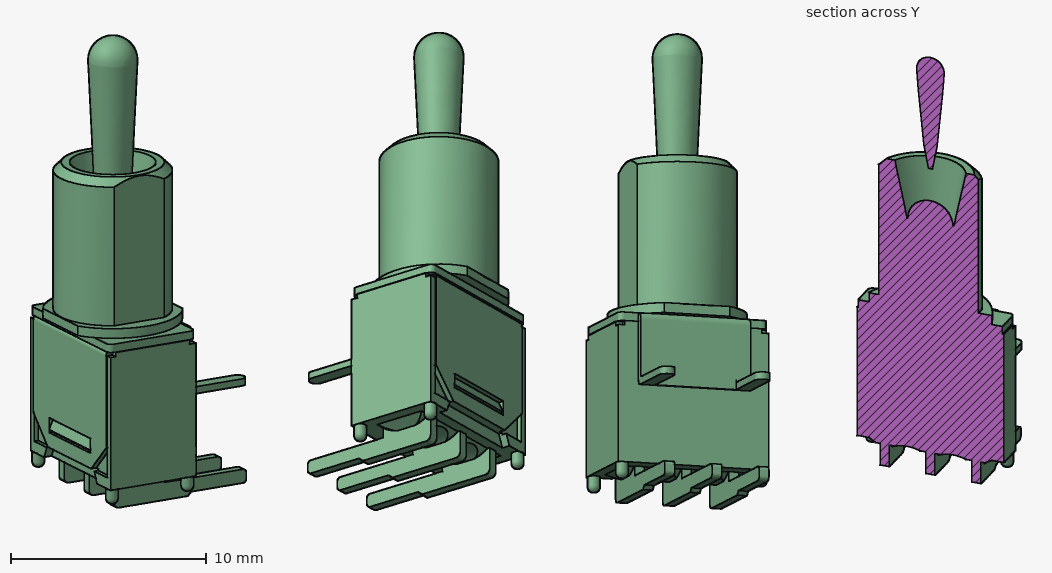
import cadquery as cq
import math


OVERALL_DEPTH = 9.35
OVERALL_HEIGHT = 24.22

HOUSING_LENGTH = 8.13
HOUSING_WIDTH = 5.1
HOUSING_HEIGHT = 7.31
FRONT_Y = -HOUSING_WIDTH / 2
BACK_Y = HOUSING_WIDTH / 2
BEND_RADIUS = 0.22
CORNER_NOTCH = 0.37

PANEL_HALF_LENGTH = 3.7
PANEL_BOTTOM = 0.68
PANEL_BEVEL_X = 2.2
PANEL_BEVEL_Z = 2.17
SILL_HEIGHT = 0.59
PANEL_THICKNESS = 0.3
GAP_DEPTH = 0.5
FRAME_SETBACK = 0.06
GAP_HALF_TOP = 2.37
GAP_HALF_BOTTOM = 2.68

LATCH_LENGTH = 4.17
LATCH_TOP = 2.27
LATCH_LIP = 1.64
LATCH_BOTTOM = 1.49
LATCH_SLOPE_DEPTH = 0.3
LATCH_SLIT_DEPTH = 0.2

PLATE_LENGTH = 8.0
PLATE_WIDTH = 5.08
PLATE_TOP = 7.75
PLATE_CORNER_RADIUS = 0.27
WASHER_RADIUS = 3.56
WASHER_TOP = 8.26
WASHER_FLAT_Y = 3.09

BUSHING_RADIUS = 3.05
BUSHING_TOP = 16.07
BUSHING_FLAT_X = 2.67
BUSHING_CHAMFER = 0.42
BORE_TOP_RADIUS = 2.2
BORE_BOTTOM_RADIUS = 3.25 / 2
BORE_DEPTH = 3.2

LEVER_TIP_RADIUS = 1.275
LEVER_NECK_RADIUS = 1.02
LEVER_TOP = 22.78
PIVOT_RADIUS = BORE_BOTTOM_RADIUS

PEG_DIAMETER = 0.65
PEG_LENGTH = 0.82
PEG_ROUNDING = 0.3

PIN_PITCH = 2.54
PIN_END_Y = OVERALL_DEPTH - WASHER_FLAT_Y
BRACKET_THICKNESS = 0.38
BRACKET_BOTTOM = 4.0
BRACKET_TOP_RADIUS = 0.37
BRACKET_OUTER_RADIUS = 0.25
BRACKET_INNER_RADIUS = 0.1
BRACKET_HALF_LENGTH = 2.965
LEG_WIDTH = 0.79
LEG_END_FLAT = 0.01
TERMINAL_THICKNESS = 0.53
TERMINAL_BOTTOM = LEVER_TOP - OVERALL_HEIGHT
TERMINAL_TOP = -0.5
TERMINAL_PIN_BOTTOM = -1.24
TERMINAL_FRONT_Y = -1.54
TERMINAL_BACK_Y = 1.47
TERMINAL_STEP_Y = 3.0
TERMINAL_CORNER_RADIUS = 0.27
TERMINAL_TIP_ROUNDING = 0.22

SEAL_HALF_LENGTH = 3.4
SEAL_HALF_WIDTH = 1.4
SEAL_DEPTH = 0.43
SEAL_EDGE_DEPTH = 0.36
SEAL_MIDDLE_DEPTH = 0.1


def box(x_range, y_range, z_range):
    """Box between the given limits."""
    size = [limits[1] - limits[0] for limits in (x_range, y_range, z_range)]
    corner = (x_range[0], y_range[0], z_range[0])
    return cq.Workplane("XY").box(*size, centered=False).translate(corner)


def revolved(points):
    """Solid of revolution about Z from (radius, z) points."""
    return cq.Workplane("XZ").polyline(points).close().revolve(360, (0, 0, 0), (0, 1, 0))


def front_prism(points, depth):
    """Prism with an XZ outline, reaching from the housing front to the given depth."""
    return cq.Workplane("XZ", origin=(0, FRONT_Y + depth, 0)).polyline(points).close().extrude(depth)


def make_housing():
    """Housing block with a slightly raised front panel, open at its lower edge and corners."""
    size = (HOUSING_LENGTH, HOUSING_WIDTH, HOUSING_HEIGHT)
    body = cq.Workplane("XY").box(*size, centered=(True, True, False))
    body = body.faces(">Z").edges("<Y").fillet(BEND_RADIUS)

    notch_bottom = HOUSING_HEIGHT - BEND_RADIUS
    notches = (
        cq.Workplane("XY", origin=(0, 0, notch_bottom))
        .rect(HOUSING_LENGTH - CORNER_NOTCH, HOUSING_WIDTH - CORNER_NOTCH, forConstruction=True)
        .vertices()
        .rect(CORNER_NOTCH, CORNER_NOTCH)
        .extrude(BEND_RADIUS)
    )
    body = body.cut(notches)

    for side in (-1, 1):
        corner = [
            (side * PANEL_HALF_LENGTH, PANEL_BEVEL_Z),
            (side * PANEL_BEVEL_X, PANEL_BOTTOM),
            (side * PANEL_BEVEL_X, SILL_HEIGHT),
            (side * PANEL_HALF_LENGTH, SILL_HEIGHT),
        ]
        body = body.cut(front_prism(corner, PANEL_THICKNESS))

    frame_y = FRONT_Y + FRAME_SETBACK
    opening = box(
        (-PANEL_HALF_LENGTH, PANEL_HALF_LENGTH),
        (FRONT_Y, frame_y),
        (SILL_HEIGHT, HOUSING_HEIGHT),
    )
    frame_layer = box(
        (-HOUSING_LENGTH / 2, HOUSING_LENGTH / 2),
        (FRONT_Y, frame_y),
        (0, HOUSING_HEIGHT),
    )
    body = body.cut(frame_layer.cut(opening))

    gap = [
        (-GAP_HALF_BOTTOM, 0),
        (GAP_HALF_BOTTOM, 0),
        (GAP_HALF_TOP, PANEL_BOTTOM),
        (-GAP_HALF_TOP, PANEL_BOTTOM),
    ]
    return body.cut(front_prism(gap, GAP_DEPTH))


def make_latch_recess():
    """Ramp that falls inward towards the top, with a slit under its lip."""
    half = LATCH_LENGTH / 2
    ramp = (
        cq.Workplane("YZ", origin=(-half, 0, 0))
        .polyline([(FRONT_Y, LATCH_LIP), (FRONT_Y, LATCH_TOP), (FRONT_Y + LATCH_SLOPE_DEPTH, LATCH_TOP)])
        .close()
        .extrude(LATCH_LENGTH)
    )
    slit = box((-half, half), (FRONT_Y, FRONT_Y + LATCH_SLIT_DEPTH), (LATCH_BOTTOM, LATCH_LIP))
    return ramp.union(slit)


def make_plate_and_washer():
    """Rounded top plate carrying a washer with flats at the front and back."""
    plate = (
        box(
            (-PLATE_LENGTH / 2, PLATE_LENGTH / 2),
            (-PLATE_WIDTH / 2, PLATE_WIDTH / 2),
            (HOUSING_HEIGHT, PLATE_TOP),
        )
        .edges("|Z")
        .fillet(PLATE_CORNER_RADIUS)
    )
    washer_thickness = WASHER_TOP - PLATE_TOP
    washer = cq.Workplane("XY", origin=(0, 0, PLATE_TOP)).circle(WASHER_RADIUS).extrude(washer_thickness)
    flats = box(
        (-WASHER_RADIUS, WASHER_RADIUS),
        (-WASHER_FLAT_Y, WASHER_FLAT_Y),
        (PLATE_TOP, WASHER_TOP),
    )
    return plate.union(washer.intersect(flats))


def make_bushing():
    """Hollow bushing, flattened on its +X side."""
    bore_bottom = BUSHING_TOP - BORE_DEPTH
    bushing = revolved(
        [
            (0, WASHER_TOP),
            (BUSHING_RADIUS, WASHER_TOP),
            (BUSHING_RADIUS, BUSHING_TOP - BUSHING_CHAMFER),
            (BUSHING_RADIUS - BUSHING_CHAMFER, BUSHING_TOP),
            (BORE_TOP_RADIUS, BUSHING_TOP),
            (BORE_BOTTOM_RADIUS, bore_bottom),
            (0, bore_bottom),
        ]
    )
    flat = box(
        (BUSHING_FLAT_X, BUSHING_RADIUS),
        (-BUSHING_RADIUS, BUSHING_RADIUS),
        (WASHER_TOP, BUSHING_TOP),
    )
    return bushing.cut(flat)


def make_lever():
    """Tapered lever with a round tip, standing on a pivot ball at the bottom of the bore."""
    tip_z = LEVER_TOP - LEVER_TIP_RADIUS
    pivot_z = BUSHING_TOP - BORE_DEPTH
    taper = (LEVER_TIP_RADIUS - LEVER_NECK_RADIUS) / (tip_z - BUSHING_TOP)
    foot_radius = LEVER_TIP_RADIUS - taper * (tip_z - pivot_z)
    tip_mid = LEVER_TIP_RADIUS * math.sqrt(0.5)
    lever = (
        cq.Workplane("XZ")
        .moveTo(0, pivot_z)
        .lineTo(foot_radius, pivot_z)
        .lineTo(LEVER_TIP_RADIUS, tip_z)
        .threePointArc((tip_mid, tip_z + tip_mid), (0, LEVER_TOP))
        .close()
        .revolve(360, (0, 0, 0), (0, 1, 0))
    )
    pivot = cq.Workplane("XY", origin=(0, 0, pivot_z)).sphere(PIVOT_RADIUS)
    return lever.union(pivot)


def make_pegs():
    """Round-ended pegs, one under each housing corner."""
    return (
        cq.Workplane("XY")
        .rect(HOUSING_LENGTH - PEG_DIAMETER, HOUSING_WIDTH - PEG_DIAMETER, forConstruction=True)
        .vertices()
        .circle(PEG_DIAMETER / 2)
        .extrude(-PEG_LENGTH)
        .faces("<Z")
        .edges()
        .fillet(PEG_ROUNDING)
    )


def make_bracket():
    """Strip on the back of the housing that bends outward into two round-ended legs."""
    x_range = (-BRACKET_HALF_LENGTH, BRACKET_HALF_LENGTH)
    outer_y = BACK_Y + BRACKET_THICKNESS
    leg_top = BRACKET_BOTTOM + BRACKET_THICKNESS
    strip = (
        box(x_range, (BACK_Y, outer_y), (BRACKET_BOTTOM, PLATE_TOP))
        .faces(">Z")
        .edges(">Y")
        .fillet(BRACKET_TOP_RADIUS)
    )
    legs_plate = box(x_range, (BACK_Y, PIN_END_Y), (BRACKET_BOTTOM, leg_top))
    bracket = strip.union(legs_plate)
    bracket = bracket.edges(cq.selectors.NearestToPointSelector((0, BACK_Y, BRACKET_BOTTOM))).fillet(
        BRACKET_OUTER_RADIUS
    )
    bracket = bracket.edges(cq.selectors.NearestToPointSelector((0, outer_y, leg_top))).fillet(
        BRACKET_INNER_RADIUS
    )
    space_half = BRACKET_HALF_LENGTH - LEG_WIDTH
    space = box((-space_half, space_half), (outer_y, PIN_END_Y), (BRACKET_BOTTOM, PLATE_TOP))
    bracket = bracket.cut(space)
    end_rounding = LEG_WIDTH / 2 - LEG_END_FLAT
    return bracket.faces(">Y").edges("|Z").fillet(end_rounding)


def make_terminal(x):
    """Flat terminal blade that turns back under the housing into a pin."""
    blade = (
        cq.Workplane("YZ", origin=(x - TERMINAL_THICKNESS / 2, 0, 0))
        .moveTo(TERMINAL_FRONT_Y, 0)
        .lineTo(TERMINAL_BACK_Y, 0)
        .lineTo(TERMINAL_BACK_Y, TERMINAL_TOP)
        .lineTo(PIN_END_Y, TERMINAL_TOP)
        .lineTo(PIN_END_Y, TERMINAL_PIN_BOTTOM)
        .lineTo(TERMINAL_STEP_Y, TERMINAL_PIN_BOTTOM)
        .lineTo(TERMINAL_STEP_Y - (TERMINAL_PIN_BOTTOM - TERMINAL_BOTTOM), TERMINAL_BOTTOM)
        .lineTo(TERMINAL_FRONT_Y, TERMINAL_BOTTOM)
        .close()
        .extrude(TERMINAL_THICKNESS)
    )
    blade = blade.faces(">Y").edges("|X").fillet(TERMINAL_TIP_ROUNDING)
    return blade.faces("<Y").edges("<Z").fillet(TERMINAL_CORNER_RADIUS)


def make_seal():
    """Compound that climbs down each terminal and sags between them."""
    blade_half = TERMINAL_THICKNESS / 2
    outer_x = PIN_PITCH + blade_half
    profile = cq.Workplane("XZ", origin=(0, SEAL_HALF_WIDTH, 0)).moveTo(-SEAL_HALF_LENGTH, 0)
    profile = profile.lineTo(-outer_x, -SEAL_EDGE_DEPTH)
    for start in (-PIN_PITCH, 0):
        profile = profile.lineTo(start + blade_half, -SEAL_EDGE_DEPTH).threePointArc(
            (start + PIN_PITCH / 2, -SEAL_MIDDLE_DEPTH),
            (start + PIN_PITCH - blade_half, -SEAL_EDGE_DEPTH),
        )
    profile = profile.lineTo(outer_x, -SEAL_EDGE_DEPTH).lineTo(SEAL_HALF_LENGTH, 0)
    seal = profile.close().extrude(2 * SEAL_HALF_WIDTH)
    bulge = (
        cq.Workplane("YZ", origin=(-SEAL_HALF_LENGTH, 0, 0))
        .moveTo(-SEAL_HALF_WIDTH, 0)
        .threePointArc((0, -SEAL_DEPTH), (SEAL_HALF_WIDTH, 0))
        .close()
        .extrude(2 * SEAL_HALF_LENGTH)
    )
    return seal.intersect(bulge)


result = make_housing().cut(make_latch_recess())
result = result.union(make_plate_and_washer()).union(make_bushing()).union(make_lever())
result = result.union(make_pegs()).union(make_bracket()).union(make_seal())
for terminal_x in (-PIN_PITCH, 0, PIN_PITCH):
    result = result.union(make_terminal(terminal_x))